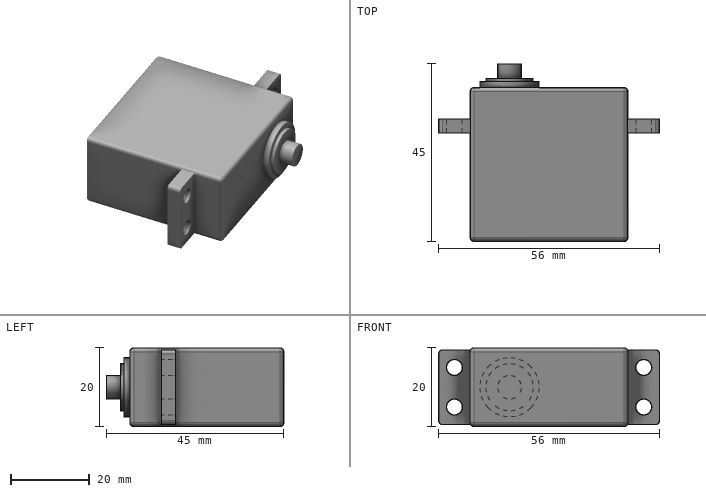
import cadquery as cq

overall_width = 56.0
case_width = 40.0
case_depth = 39.05
case_height = 20.0
edge_radius = 1.0

plate_height = 19.0
plate_thickness = 3.6
plate_front = 27.5
hole_diameter = 4.0
hole_spacing_z = 10.0
hole_spacing_x = (overall_width + case_width) / 2

shaft_x = -10.0
shaft_steps = [
    (15.0, 1.5),
    (12.0, 2.35),
    (6.0, 6.0),
]


def make_case():
    block = cq.Workplane("XY").box(case_width, case_depth, case_height)
    return block.edges().fillet(edge_radius).translate((0, case_depth / 2, 0))


def make_mounting_plate():
    plate = cq.Workplane("XY").box(overall_width, plate_thickness, plate_height)
    plate = plate.edges("|Y").fillet(edge_radius)
    plate = (
        plate.faces("<Y").workplane(centerOption="CenterOfBoundBox")
        .rarray(hole_spacing_x, hole_spacing_z, 2, 2)
        .hole(hole_diameter)
    )
    return plate.translate((0, plate_front + plate_thickness / 2, 0))


def make_shaft_step(diameter, projection):
    length = projection + edge_radius
    step = cq.Workplane("XZ").circle(diameter / 2).extrude(-length)
    return step.translate((shaft_x, case_depth - edge_radius, 0))


result = make_case().union(make_mounting_plate())
for step_diameter, step_projection in shaft_steps:
    result = result.union(make_shaft_step(step_diameter, step_projection))